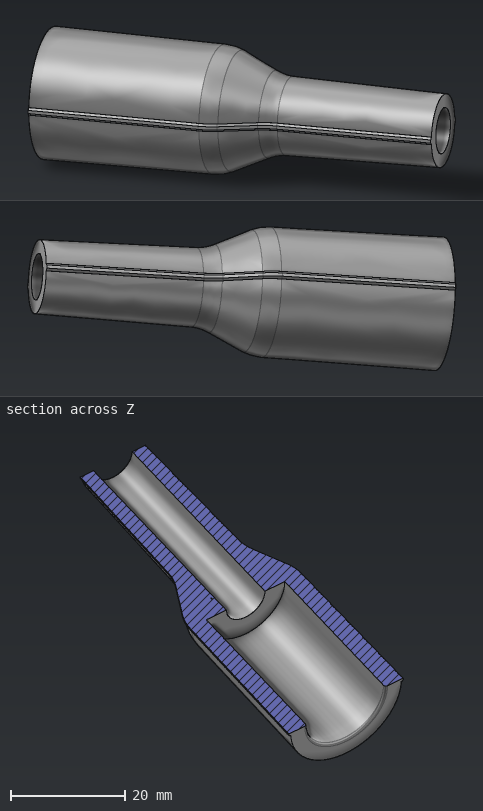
import cadquery as cq

length = 72.5
mouth_radius = 11.75
shoulder_start_x = 33.0
shoulder_start_radius = 11.45
shoulder_end_x = 42.55
shoulder_end_radius = 7.0
tip_radius = 6.5
blend_radius = 8.0

socket_diameter = 16.5
socket_depth = 31.2
socket_mouth_fillet = 0.5
through_diameter = 8.1

rib_height = 0.4
rib_crest_width = 0.6
rib_base_width = rib_crest_width + 2 * rib_height


def profile_plate(thickness, offset=0.0):
    """Plate from the axis out to the body outline raised by offset, resting on the XY plane."""
    start_radius = shoulder_start_radius + offset
    end_radius = shoulder_end_radius + offset
    plate = (
        cq.Workplane("XY")
        .polyline([
            (0, 0),
            (0, mouth_radius + offset),
            (shoulder_start_x, start_radius),
            (shoulder_end_x, end_radius),
            (length, tip_radius + offset),
            (length, 0),
        ])
        .close()
        .extrude(thickness)
    )
    for corner in [(shoulder_start_x, start_radius, 0), (shoulder_end_x, end_radius, 0)]:
        plate = plate.edges("|Z").edges(cq.selectors.NearestToPointSelector(corner)).fillet(blend_radius)
    return plate


def outer_body():
    """Revolve the blended outline, taken from the bottom face of a plate, about X."""
    outline = profile_plate(0.7).faces("<Z").wires().val()
    return cq.Workplane("XY").add(outline).toPending().revolve(360, (0, 0, 0), (1, 0, 0))


def rib():
    """Plate on the +Y side with its outer edges chamfered down to the crest."""
    plate = profile_plate(rib_base_width, rib_height).translate((0, 0, -rib_base_width / 2))
    crest_edges = plate.faces(">Z or <Z").edges("not(<Y or <X or >X)")
    return crest_edges.chamfer(rib_height)


def cut_bore(body):
    socket = cq.Workplane("YZ").circle(socket_diameter / 2).extrude(socket_depth)
    through_hole = cq.Workplane("YZ").circle(through_diameter / 2).extrude(length)
    bored = body.cut(socket).cut(through_hole)
    socket_mouth = cq.selectors.RadiusNthSelector(0)
    return bored.faces("<X").edges("%CIRCLE").edges(socket_mouth).fillet(socket_mouth_fillet)


left_rib = rib()
right_rib = left_rib.mirror("XZ")
result = cut_bore(outer_body().union(left_rib).union(right_rib))